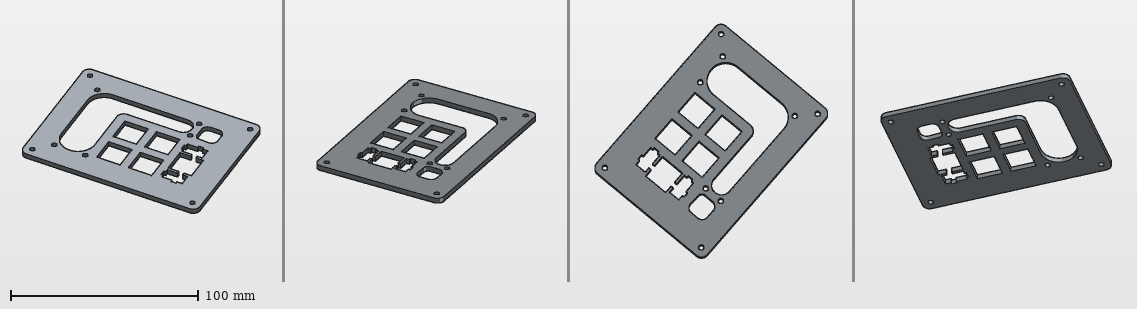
import cadquery as cq

plate_length = 106.0
plate_width = 77.5
plate_thickness = 3.0
plate_corner_radius = 4.0

hole_diameter = 2.9
corner_hole_inset = 5.0
inner_hole_left = -39.2
inner_hole_middle = -20.7
inner_hole_right = 21.8
inner_hole_y = 25.2
inner_hole_arm_y = 14.6

leg_left = -40.1
leg_right = -20.0
opening_half_height = 25.3
arm_right = 20.4
arm_bottom = 14.6
inside_corner_radius = 4.0

key_size = 14.0
key_pitch = 19.0
key_first_x = -7.5
key_first_y = 2.2
wide_key_x = key_first_x + 2 * key_pitch
wide_key_y = key_first_y - key_pitch / 2

stabilizer_left = 23.7
stabilizer_right = 35.9
stabilizer_height = 6.5
stabilizer_offset = 11.8
tab_left = 22.6
tab_height = 3.1
tab_offset = 11.9
channel_left = 29.9
channel_right = 32.9
channel_half_height = 16.1

window_left = 24.9
window_right = 37.0
window_top = 25.5
window_bottom_left = 14.3
window_bottom_right = 13.7
window_radius = 3.6
window_small_radius = 2.3


def box_cutter(left, right, center_y, height):
    """Rectangular cutter through the full plate thickness."""
    return (
        cq.Workplane("XY")
        .center((left + right) / 2, center_y)
        .rect(right - left, height)
        .extrude(plate_thickness)
    )


def key_cutter(center_x, center_y):
    return box_cutter(center_x - key_size / 2, center_x + key_size / 2, center_y, key_size)


def l_opening_cutter():
    leg_radius = (leg_right - leg_left) / 2
    leg_center_x = leg_left + leg_radius
    leg_end_y = -opening_half_height + leg_radius
    arm_radius = (opening_half_height - arm_bottom) / 2
    arm_end_x = arm_right - arm_radius
    outline = (
        cq.Workplane("XY")
        .moveTo(leg_center_x, opening_half_height)
        .lineTo(arm_end_x, opening_half_height)
        .threePointArc((arm_right, arm_bottom + arm_radius), (arm_end_x, arm_bottom))
        .lineTo(leg_right + inside_corner_radius, arm_bottom)
        .radiusArc((leg_right, arm_bottom - inside_corner_radius), -inside_corner_radius)
        .lineTo(leg_right, leg_end_y)
        .threePointArc((leg_center_x, -opening_half_height), (leg_left, leg_end_y))
        .lineTo(leg_left, opening_half_height - leg_radius)
        .radiusArc((leg_center_x, opening_half_height), leg_radius)
        .close()
    )
    return outline.extrude(plate_thickness)


def wide_key_cutter():
    """Wide key opening, its two stabilizers and the channel joining them."""
    cutter = key_cutter(wide_key_x, wide_key_y)
    cutter = cutter.union(box_cutter(channel_left, channel_right, wide_key_y, 2 * channel_half_height))
    for side in (-1, 1):
        body_y = wide_key_y + side * stabilizer_offset
        tab_y = wide_key_y + side * tab_offset
        cutter = cutter.union(box_cutter(stabilizer_left, stabilizer_right, body_y, stabilizer_height))
        cutter = cutter.union(box_cutter(tab_left, stabilizer_right, tab_y, tab_height))
    return cutter


def window_cutter():
    corners = [
        (window_left, window_top),
        (window_right, window_top),
        (window_right, window_bottom_right),
        (window_left, window_bottom_left),
    ]
    cutter = cq.Workplane("XY").polyline(corners).close().extrude(plate_thickness)
    cutter = cutter.edges("|Z and (>X or >Y)").fillet(window_radius)
    small_corner = cq.selectors.NearestToPointSelector(
        (window_left, window_bottom_left, plate_thickness / 2)
    )
    return cutter.edges("|Z").edges(small_corner).fillet(window_small_radius)


plate = (
    cq.Workplane("XY")
    .rect(plate_length, plate_width)
    .extrude(plate_thickness)
    .edges("|Z")
    .fillet(plate_corner_radius)
)

corner_hole_x = plate_length / 2 - corner_hole_inset
corner_hole_y = plate_width / 2 - corner_hole_inset
hole_centers = [(x, y) for x in (-corner_hole_x, corner_hole_x) for y in (-corner_hole_y, corner_hole_y)]
hole_centers += [
    (inner_hole_left, inner_hole_y),
    (inner_hole_right, inner_hole_y),
    (inner_hole_right, inner_hole_arm_y),
    (inner_hole_left, -inner_hole_y),
    (inner_hole_middle, -inner_hole_y),
]
holes = cq.Workplane("XY").pushPoints(hole_centers).circle(hole_diameter / 2).extrude(plate_thickness)

result = plate.cut(holes).cut(l_opening_cutter()).cut(wide_key_cutter()).cut(window_cutter())
for column in range(2):
    for row in range(2):
        result = result.cut(key_cutter(key_first_x + column * key_pitch, key_first_y - row * key_pitch))